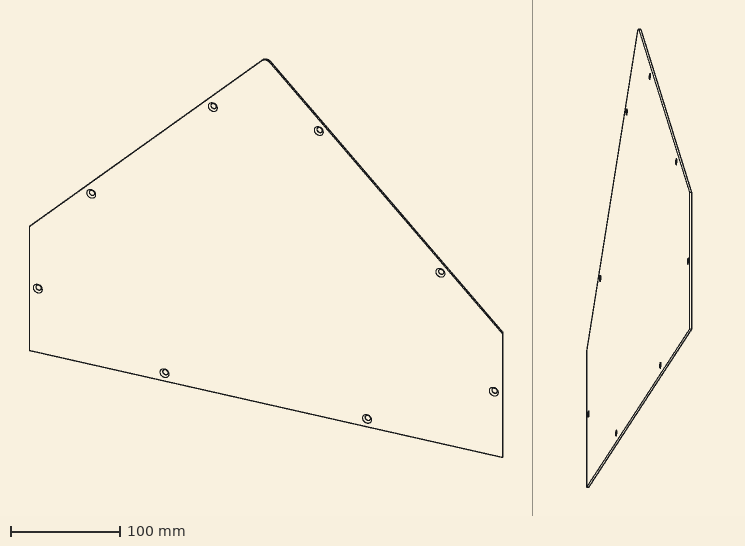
import cadquery as cq
import math

width = 474.5
thickness = 2.05
height = 365.0

shoulder_height = 131.5
sharp_peak_height = 367.2
slope = (sharp_peak_height - shoulder_height) / (width / 2)
slope_stretch = math.hypot(1, slope)
peak_radius = (sharp_peak_height - height) / (slope_stretch - 1)

hole_diameter = 5.0
countersink_diameter = 9.0
countersink_angle = 90.0
edge_margin = 8.5
bottom_hole_x = 101.5
side_hole_z = 68.0
upper_slope_hole_x = 53.0
lower_slope_hole_x = 175.0


def slope_hole(x):
    """Hole centre at the edge margin from the sloping edge."""
    return x, sharp_peak_height - slope * x - edge_margin * slope_stretch


def plate():
    """Flat plate with its front face at Y = 0 and its bottom edge at Z = 0."""
    half_width = width / 2
    outline = [
        (-half_width, 0),
        (half_width, 0),
        (half_width, shoulder_height),
        (0, sharp_peak_height),
        (-half_width, shoulder_height),
    ]
    blank = cq.Workplane("XZ").polyline(outline).close().extrude(-thickness)
    return blank.edges("|Y").edges(">Z").fillet(peak_radius)


right_holes = [
    (bottom_hole_x, edge_margin),
    (width / 2 - edge_margin, side_hole_z),
    slope_hole(lower_slope_hole_x),
    slope_hole(upper_slope_hole_x),
]
left_holes = [(-x, z) for x, z in right_holes]

result = (
    plate()
    .faces("<Y")
    .workplane(origin=(0, 0, 0))
    .pushPoints(right_holes + left_holes)
    .cskHole(hole_diameter, countersink_diameter, countersink_angle)
)